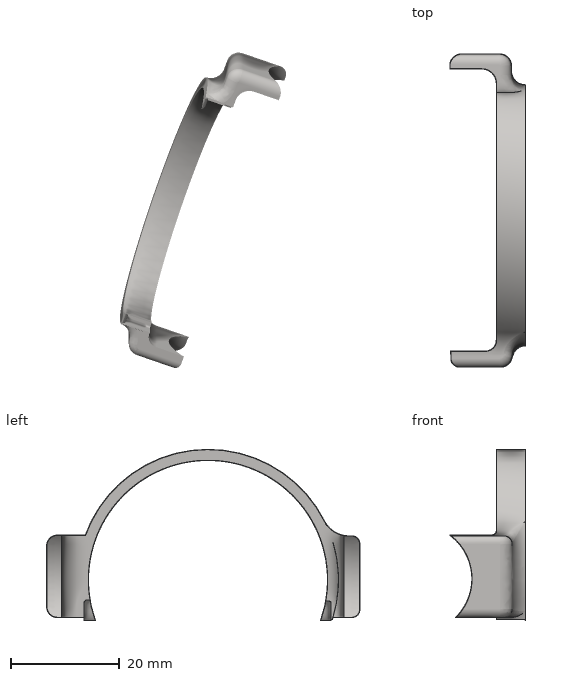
import cadquery as cq
import math

RING_OUTER_R = 24.0
RING_INNER_R = 22.0
RING_WIDTH = 5.4

LUG_BOTTOM_Z = -6.92
LUG_TIP_X = -8.54
LUG_ROOT_Y = 20.0
WALL_FILLET_R = 2.5

LEFT_TOP_Z = 8.24
LEFT_OUTER_Y = 29.67
LEFT_INNER_Y = 26.9
LEFT_BACK_X = 2.8
LEFT_EDGE_R = 2.0
LEFT_FRONT_CORNER_R = 2.65
LEFT_BACK_CORNER_R = 2.2

RIGHT_TOP_Z = 8.1
RIGHT_OUTER_Y = 27.93
RIGHT_INNER_Y = 24.98
RIGHT_BACK_X = 2.9
RIGHT_EDGE_R = 1.5
RIGHT_FRONT_CORNER_R = 2.0
RIGHT_BACK_CORNER_R = 2.2

SCOOP_R = 10.0
SCOOP_Z = 0.2
SCOOP_X = LUG_TIP_X - math.sqrt(SCOOP_R**2 - (LEFT_TOP_Z - SCOOP_Z) ** 2)

BLEND_R = 5.0

TAB_FRONT_X = 4.75
TAB_BOTTOM_Z = -7.5
TAB_CURVE_TOP_Z = -5.65
LEFT_NOTCH_Y = 22.8
LEFT_NOTCH_TOP_Z = -3.65
LEFT_NOTCH_R = 0.7
RIGHT_NOTCH_Y = 22.65
RIGHT_NOTCH_TOP_Z = -3.92
RIGHT_NOTCH_R = 0.35
RIGHT_RING_END_Z = -7.28

MARGIN = 5.0
BLANK_START_X = LUG_TIP_X - MARGIN


def box(x0, x1, y0, y1, z0, z1):
    return cq.Workplane("XY").box(x1 - x0, y1 - y0, z1 - z0, centered=False).translate((x0, y0, z0))


def disc(radius, x0, x1):
    return cq.Workplane("YZ").workplane(offset=x0).circle(radius).extrude(x1 - x0)


def ring_half(end_z):
    """The +Y half of the ring, ending at height end_z."""
    annulus = disc(RING_OUTER_R, 0, RING_WIDTH).cut(disc(RING_INNER_R, 0, RING_WIDTH))
    return annulus.intersect(box(0, RING_WIDTH, 0, RING_OUTER_R, end_z, RING_OUTER_R))


def behind_lug(back_x, reach):
    """Space behind a lug: revolved about X, with the concave fillet against the ring."""
    return (
        cq.Workplane("XY")
        .moveTo(back_x, reach)
        .lineTo(back_x, RING_OUTER_R + WALL_FILLET_R)
        .radiusArc((back_x + WALL_FILLET_R, RING_OUTER_R), -WALL_FILLET_R)
        .lineTo(RING_WIDTH + MARGIN, RING_OUTER_R)
        .lineTo(RING_WIDTH + MARGIN, reach)
        .close()
        .revolve(360, (0, 0, 0), (1, 0, 0))
    )


def left_blank():
    """Square +Y lug blank with a flat top."""
    return box(BLANK_START_X, RING_WIDTH, LUG_ROOT_Y, LEFT_OUTER_Y, LUG_BOTTOM_Z, LEFT_TOP_Z)


def right_blank():
    """-Y lug blank, built on +Y, whose top sweeps down tangent from the ring to a flat."""
    center_z = RIGHT_TOP_Z + BLEND_R
    center_y = math.sqrt((RING_OUTER_R + BLEND_R) ** 2 - center_z**2)
    tangent_scale = RING_OUTER_R / (RING_OUTER_R + BLEND_R)
    return (
        cq.Workplane("YZ")
        .workplane(offset=BLANK_START_X)
        .moveTo(LUG_ROOT_Y, LUG_BOTTOM_Z)
        .lineTo(LUG_ROOT_Y, center_z * tangent_scale)
        .lineTo(center_y * tangent_scale, center_z * tangent_scale)
        .radiusArc((center_y, RIGHT_TOP_Z), -BLEND_R)
        .lineTo(RIGHT_OUTER_Y, RIGHT_TOP_Z)
        .lineTo(RIGHT_OUTER_Y, LUG_BOTTOM_Z)
        .close()
        .extrude(RING_WIDTH - BLANK_START_X)
    )


def lug(body, outer_y, inner_y, back_x, edge_r, front_corner_r, back_corner_r):
    """Cut and round a +Y lug blank: front gap, back wall, outer edges and scooped free end."""
    front_gap = box(BLANK_START_X, 0, 0, inner_y, LUG_BOTTOM_Z, RING_OUTER_R)
    body = body.cut(front_gap.edges(">X and >Y").fillet(front_corner_r))
    body = body.cut(behind_lug(back_x, outer_y + RING_OUTER_R))
    outer_corner = cq.selectors.BoxSelector(
        (back_x - edge_r, outer_y - edge_r / 2, LUG_BOTTOM_Z),
        (back_x + edge_r, outer_y + edge_r, RING_OUTER_R),
    )
    body = body.edges("|Z").edges(outer_corner).fillet(back_corner_r)
    body = body.faces(">Y").edges("|X").fillet(edge_r)
    scoop = cq.Workplane("XZ").center(SCOOP_X, SCOOP_Z).circle(SCOOP_R).extrude(-outer_y)
    return body.cut(scoop).cut(disc(RING_INNER_R, BLANK_START_X, RING_WIDTH))


def notch(outer_y, top_z, corner_r):
    """Cutter across the full ring width at its +Y lower end, with a rounded upper corner."""
    block = box(0, RING_WIDTH, 0, outer_y, TAB_BOTTOM_Z, top_z)
    return block.edges(">Y and >Z").fillet(corner_r)


def tab(notch_body):
    """Thin tab closing the back of a notch, its front curving back to a sharp lower edge."""
    thickness = RING_WIDTH - TAB_FRONT_X
    drop = TAB_CURVE_TOP_Z - TAB_BOTTOM_Z
    curve_r = (thickness**2 + drop**2) / (2 * thickness)
    side = (
        cq.Workplane("XZ")
        .moveTo(TAB_FRONT_X, 0)
        .lineTo(TAB_FRONT_X, TAB_CURVE_TOP_Z)
        .radiusArc((RING_WIDTH, TAB_BOTTOM_Z), -curve_r)
        .lineTo(RING_WIDTH, 0)
        .close()
        .extrude(-RING_OUTER_R)
    )
    return ring_half(TAB_BOTTOM_Z).intersect(notch_body).intersect(side)


def left_half():
    """The +Y half of the clip."""
    left_lug = lug(
        left_blank(),
        LEFT_OUTER_Y,
        LEFT_INNER_Y,
        LEFT_BACK_X,
        LEFT_EDGE_R,
        LEFT_FRONT_CORNER_R,
        LEFT_BACK_CORNER_R,
    )
    body = ring_half(LUG_BOTTOM_Z).union(left_lug)
    notch_body = notch(LEFT_NOTCH_Y, LEFT_NOTCH_TOP_Z, LEFT_NOTCH_R)
    return body.cut(notch_body).union(tab(notch_body))


def right_half():
    """The -Y half, built on +Y and mirrored."""
    right_lug = lug(
        right_blank(),
        RIGHT_OUTER_Y,
        RIGHT_INNER_Y,
        RIGHT_BACK_X,
        RIGHT_EDGE_R,
        RIGHT_FRONT_CORNER_R,
        RIGHT_BACK_CORNER_R,
    )
    right_lug = right_lug.cut(disc(RING_OUTER_R, LUG_TIP_X, 0))
    body = ring_half(RIGHT_RING_END_Z).union(right_lug)
    notch_body = notch(RIGHT_NOTCH_Y, RIGHT_NOTCH_TOP_Z, RIGHT_NOTCH_R)
    return body.cut(notch_body).union(tab(notch_body)).mirror("XZ")


result = left_half().union(right_half())